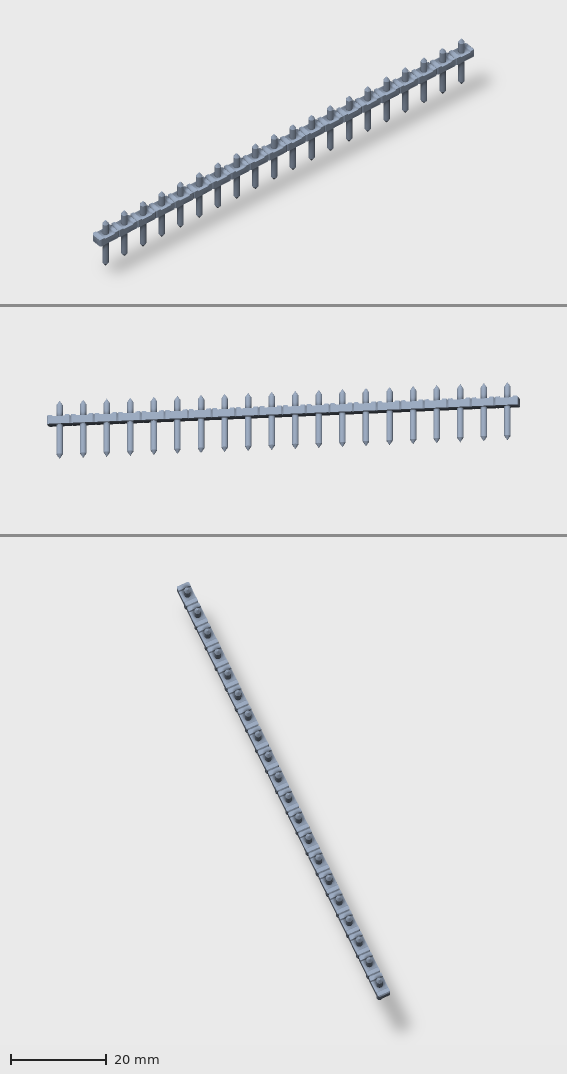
import cadquery as cq

pin_count = 20
pitch = 5.0
strip_length = pin_count * pitch
strip_width = 2.8

pin_length = 12.5
pin_radius = 0.68
cone_height = 1.0
pin_bottom = -pin_length / 2
pin_top = pin_length / 2

pin_tail_length = 7.3
body_height = 1.9
body_bottom = pin_bottom + pin_tail_length
body_top = body_bottom + body_height

ridge_height = 0.3
ridge_top_length = 1.05
ridge_foot_length = 1.25

bevel = 0.25


def make_section():
    """One carrier section, centered on the Z axis."""
    block = (
        cq.Workplane("XY")
        .workplane(offset=body_bottom)
        .box(strip_width, pitch, body_height, centered=(True, True, False))
    )
    return block.faces("<Y or >Y").edges("|Z or >Z").chamfer(bevel).cut(make_seat())


def make_seat():
    """Trapezoidal channel across the section, leaving a sloped ridge at each end."""
    seat_z = body_top - ridge_height
    foot_y = pitch / 2 - ridge_foot_length
    crest_y = pitch / 2 - ridge_top_length
    return (
        cq.Workplane("YZ")
        .moveTo(-foot_y, seat_z)
        .lineTo(foot_y, seat_z)
        .lineTo(crest_y, body_top)
        .lineTo(-crest_y, body_top)
        .close()
        .extrude(strip_width / 2, both=True)
    )


def make_pin():
    """Pin turned about the Z axis, pointed at both ends."""
    return (
        cq.Workplane("YZ")
        .moveTo(0, pin_bottom)
        .lineTo(-pin_radius, pin_bottom + cone_height)
        .lineTo(-pin_radius, pin_top - cone_height)
        .lineTo(0, pin_top)
        .close()
        .revolve(360, (0, 0, 0), (0, 1, 0))
    )


section_with_pin = make_section().union(make_pin())
first_y = (pitch - strip_length) / 2

result = section_with_pin.translate((0, first_y, 0))
for i in range(1, pin_count):
    result = result.union(section_with_pin.translate((0, first_y + i * pitch, 0)))